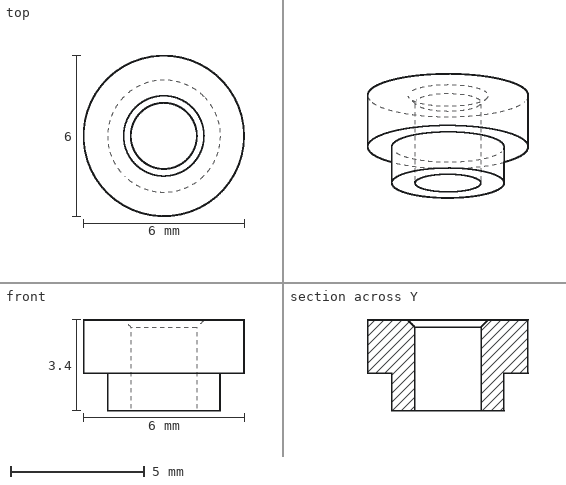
import cadquery as cq

head_diameter = 6.0
head_height = 2.0
shank_diameter = 4.2
shank_height = 1.4
bore_diameter = 2.46
bore_mouth_diameter = 3.0

total_height = shank_height + head_height
bore_chamfer = (bore_mouth_diameter - bore_diameter) / 2


def make_body():
    """Solid shank standing on Z = 0 with the head on top of it."""
    shank = cq.Workplane("XY").circle(shank_diameter / 2).extrude(shank_height)
    return shank.faces(">Z").workplane().circle(head_diameter / 2).extrude(head_height)


def make_bore():
    """Through bore with a conical mouth at the head end, as a cutting solid."""
    bore_radius = bore_diameter / 2
    mouth_radius = bore_mouth_diameter / 2
    return (
        cq.Workplane("XZ")
        .moveTo(0, 0)
        .lineTo(bore_radius, 0)
        .lineTo(bore_radius, total_height - bore_chamfer)
        .lineTo(mouth_radius, total_height)
        .lineTo(0, total_height)
        .close()
        .revolve(360, (0, 0, 0), (0, 1, 0))
    )


result = make_body().cut(make_bore())